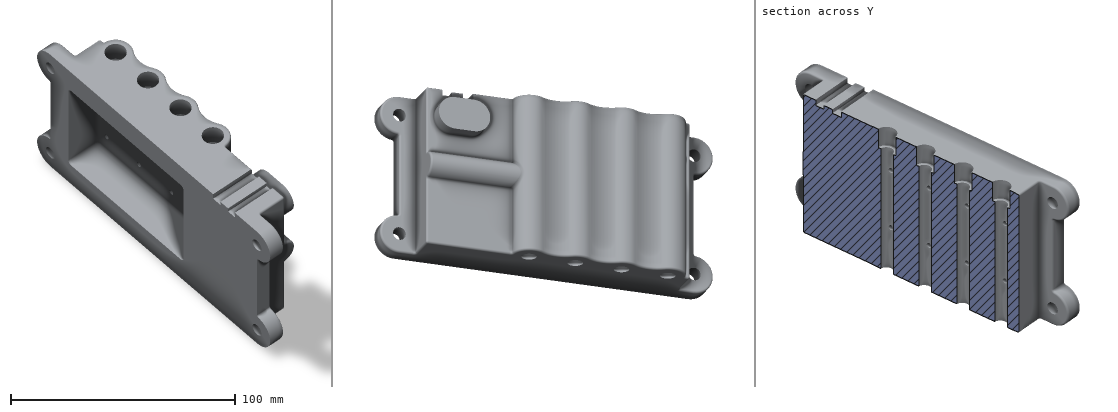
import cadquery as cq
import math

length = 158.0
height = 75.0

edge_radius = 1.0

edge_tolerance = 0.08

ear_radius = 9.0
ear_x = length / 2 - ear_radius
ear_z = height / 2 - ear_radius
ear_hole_diameter = 6.0
ear_corner_radius = 1.0
flange_thickness = 8.0

body_half_width = 62.5
shoulder_y = 22.9

port_count = 4
port_pitch = 22.0
first_port_x = -52.0
port_y = shoulder_y
port_diameter = 7.0
counterbore_diameter = 10.0
counterbore_depth = 10.0
hump_radius = 8.0
valley_y = 27.8
port_xs = [first_port_x + i * port_pitch for i in range(port_count)]
last_port_x = port_xs[-1]

pocket_center_x = -18.8
pocket_width = 78.0
pocket_height = 50.1
pocket_depth = 17.5
pocket_radius = 1.9
feed_hole_diameter = 2.5
feed_hole_z = 15.5

tube_radius = 6.0
tube_z = 0
boss_center_x = 47.4
boss_length = 24.3
boss_width = 15.2
boss_top_z = 31.0
boss_center_z = boss_top_z - boss_width / 2
back_y = port_y + hump_radius

groove_left_x = 40.3
groove_right_x = 55.0
groove_depth = 3.0
rib_left_x = 45.2
rib_right_x = 50.4
rib_top_drop = 1.0


def make_flange():
    """Plate with a round ear at each corner and straight recessed ends."""
    plate = cq.Workplane("XZ").rect(2 * ear_x, height).extrude(-flange_thickness)
    ears = (
        cq.Workplane("XZ")
        .rect(2 * ear_x, 2 * ear_z, forConstruction=True)
        .vertices()
        .circle(ear_radius)
        .extrude(-flange_thickness)
    )
    return plate.union(ears)


def hump_profile():
    """Closed XY outline of the body including the wavy row of humps."""
    half_pitch = port_pitch / 2
    rise = valley_y - port_y
    valley_radius = (half_pitch**2 + rise**2 - hump_radius**2) / (2 * (hump_radius - rise))
    tangent_share = hump_radius / (hump_radius + valley_radius)
    tangent_dx = half_pitch * tangent_share
    tangent_y = port_y + (rise + valley_radius) * tangent_share

    outline = (
        cq.Workplane("XY")
        .moveTo(-body_half_width, 0)
        .lineTo(-body_half_width, shoulder_y)
        .lineTo(first_port_x - hump_radius, shoulder_y)
    )
    diagonal = hump_radius * math.sqrt(0.5)
    outline = outline.threePointArc(
        (first_port_x - diagonal, port_y + diagonal),
        (first_port_x, back_y),
    )
    for x, next_x in zip(port_xs, port_xs[1:]):
        outline = outline.radiusArc((x + tangent_dx, tangent_y), hump_radius)
        outline = outline.threePointArc((x + half_pitch, valley_y), (next_x - tangent_dx, tangent_y))
        outline = outline.radiusArc((next_x, back_y), hump_radius)
    outline = outline.threePointArc(
        (last_port_x + diagonal, port_y + diagonal),
        (last_port_x + hump_radius, shoulder_y),
    )
    return outline.lineTo(body_half_width, shoulder_y).lineTo(body_half_width, 0).close()


def make_body():
    """Wavy outline drawn out over the full height."""
    return hump_profile().extrude(height / 2, both=True)


def make_tube():
    """Half-buried round rail from the last hump to the right side of the body."""
    tube_length = body_half_width - last_port_x
    return (
        cq.Workplane("YZ", origin=(last_port_x, shoulder_y, tube_z))
        .circle(tube_radius)
        .extrude(tube_length)
    )


def make_boss():
    """Oval boss standing on the shoulder."""
    return (
        cq.Workplane("XZ", origin=(boss_center_x, shoulder_y, boss_center_z))
        .slot2D(boss_length, boss_width)
        .extrude(-(back_y - shoulder_y))
    )


def lies_on(edge, x=None, y=None, z=None):
    """True when the whole edge lies on every given coordinate plane."""
    box = edge.BoundingBox()
    limits = ((x, box.xmin, box.xmax), (y, box.ymin, box.ymax), (z, box.zmin, box.zmax))
    return all(
        plane is None or max(abs(low - plane), abs(high - plane)) < edge_tolerance
        for plane, low, high in limits
    )


def round_edges(solid, is_chosen, radius):
    """Fillet every edge that passes the given test."""
    chosen = [edge for edge in solid.edges().vals() if is_chosen(edge)]
    return solid.newObject(chosen).fillet(radius)


def is_ear_corner(edge):
    """Short edges along Y where an ear meets the straight flange end."""
    inner_z = ear_z - ear_radius
    return any(
        lies_on(edge, x=x, z=z) for x in (-ear_x, ear_x) for z in (-inner_z, inner_z)
    )


def is_inner_corner(edge):
    """Concave edges: body on flange, outer humps on shoulder, tube on shoulder and hump."""
    on_flange = any(
        lies_on(edge, x=x, y=flange_thickness) for x in (-body_half_width, body_half_width)
    )
    hump_ends = (first_port_x - hump_radius, last_port_x + hump_radius)
    beside_hump = any(lies_on(edge, x=x, y=shoulder_y) for x in hump_ends)
    tube_sides = (tube_z - tube_radius, tube_z + tube_radius)
    beside_tube = any(lies_on(edge, y=shoulder_y, z=z) for z in tube_sides)
    tube_on_hump = edge.geomType() == "BSPLINE"
    return on_flange or beside_hump or beside_tube or tube_on_hump


def is_outer_edge(edge):
    """Convex edges of the flange rim, body ends, shoulders and tube end."""
    if lies_on(edge, y=0):
        return False
    center = edge.Center()
    on_end_face = lies_on(edge, z=height / 2) or lies_on(edge, z=-height / 2)
    on_left_shoulder = lies_on(edge, x=-body_half_width, y=shoulder_y)
    on_right_shoulder = lies_on(edge, x=body_half_width) and center.y > shoulder_y - edge_radius
    on_flange_rim = lies_on(edge, y=flange_thickness) and abs(center.x) > ear_x - ear_corner_radius
    return on_end_face or on_left_shoulder or on_right_shoulder or on_flange_rim


def is_boss_root(edge):
    """Edges where the boss wall meets the shoulder."""
    box = edge.BoundingBox()
    half_length = boss_length / 2 + edge_tolerance
    left_x = boss_center_x - half_length
    right_x = boss_center_x + half_length
    return lies_on(edge, y=shoulder_y) and box.xmin > left_x and box.xmax < right_x


def cut_ear_holes(solid):
    """Screw hole through the centre of each ear."""
    holes = (
        cq.Workplane("XZ")
        .rect(2 * ear_x, 2 * ear_z, forConstruction=True)
        .vertices()
        .circle(ear_hole_diameter / 2)
        .extrude(-flange_thickness)
    )
    return solid.cut(holes)


def cut_pocket(solid):
    """Rectangular pocket with rounded upright corners and floor edges."""
    pocket = (
        cq.Workplane("XZ")
        .center(pocket_center_x, 0)
        .rect(pocket_width, pocket_height)
        .extrude(-pocket_depth)
        .edges("|Y or >Y")
        .fillet(pocket_radius)
    )
    return solid.cut(pocket)


def cut_ports(solid):
    """Through bores along Z, counterbored at the top, each with two feed holes from the pocket."""
    centers = [(x, port_y) for x in port_xs]
    bores = (
        cq.Workplane("XY")
        .pushPoints(centers)
        .circle(port_diameter / 2)
        .extrude(height / 2, both=True)
    )
    counterbores = (
        cq.Workplane("XY", origin=(0, 0, height / 2))
        .pushPoints(centers)
        .circle(counterbore_diameter / 2)
        .extrude(-counterbore_depth)
    )
    feed_holes = (
        cq.Workplane("XZ")
        .pushPoints([(x, z) for x in port_xs for z in (-feed_hole_z, feed_hole_z)])
        .circle(feed_hole_diameter / 2)
        .extrude(-port_y)
    )
    return solid.cut(bores).cut(counterbores).cut(feed_holes)


def cut_top_step(solid, left_x, right_x, depth):
    """Cut a straight step of the given depth into the top face, along the whole of Y."""
    step = (
        cq.Workplane("XY", origin=(left_x, 0, height / 2 - depth))
        .rect(right_x - left_x, shoulder_y, centered=False)
        .extrude(depth)
    )
    return solid.cut(step)


flange = round_edges(make_flange(), is_ear_corner, ear_corner_radius)
housing = flange.union(make_body()).union(make_tube())
housing = round_edges(housing, is_inner_corner, edge_radius)
housing = round_edges(housing, is_outer_edge, edge_radius)
housing = round_edges(housing.union(make_boss()), is_boss_root, edge_radius)

housing = cut_ear_holes(housing)
housing = cut_pocket(housing)
housing = cut_ports(housing)
housing = cut_top_step(housing, groove_left_x, rib_left_x, groove_depth)
housing = cut_top_step(housing, rib_left_x, rib_right_x, rib_top_drop)
housing = cut_top_step(housing, rib_right_x, groove_right_x, groove_depth)

result = housing